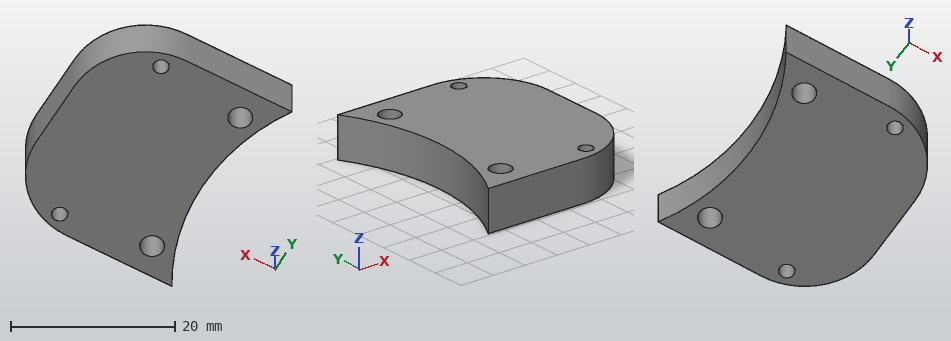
import cadquery as cq
import math

length = 24.8
width = 29.25
thickness = 6.0

corner_radius = 10.0
concave_radius = 28.5

large_hole_diameter = 3.0
large_hole_x = 5.03
large_hole_spacing = 21.5
small_hole_diameter = 2.0
small_hole_x = 17.1
small_hole_spacing = 24.7

half_width = width / 2
concave_depth = concave_radius - math.sqrt(concave_radius**2 - half_width**2)


def make_plate():
    """Plate with the tips of its concave face at X = 0."""
    return (
        cq.Workplane("XY")
        .moveTo(0, -half_width)
        .lineTo(length, -half_width)
        .lineTo(length, half_width)
        .lineTo(0, half_width)
        .threePointArc((concave_depth, 0), (0, -half_width))
        .close()
        .extrude(thickness)
        .edges("|Z and >X")
        .fillet(corner_radius)
    )


def make_hole_pair(diameter, x, spacing):
    """Two cutting cylinders through the full thickness."""
    return (
        cq.Workplane("XY")
        .pushPoints([(x, -spacing / 2), (x, spacing / 2)])
        .circle(diameter / 2)
        .extrude(thickness)
    )


result = (
    make_plate()
    .cut(make_hole_pair(large_hole_diameter, large_hole_x, large_hole_spacing))
    .cut(make_hole_pair(small_hole_diameter, small_hole_x, small_hole_spacing))
)